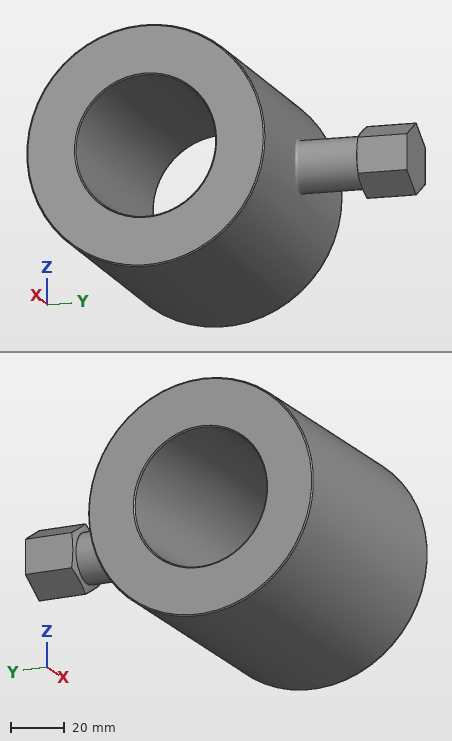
import cadquery as cq
import math

sleeve_length = 100.0
sleeve_diameter = 93.0
bore_diameter = 54.5
edge_chamfer = 0.5

total_depth = 136.9
neck_diameter = 20.0
neck_root_fillet = 1.0
hex_across_flats = 24.0
hex_length = 20.0
hex_face_diameter = 21.0
hex_cone_angle = 15.0

sleeve_radius = sleeve_diameter / 2
fitting_end = total_depth - sleeve_radius
hex_start = fitting_end - hex_length
hex_across_corners = hex_across_flats / math.cos(math.radians(30))


def make_sleeve():
    """Plain outer cylinder with both rims chamfered."""
    blank = cq.Workplane("YZ").circle(sleeve_radius).extrude(sleeve_length / 2, both=True)
    return blank.faces("<X or >X").edges().chamfer(edge_chamfer)


def add_neck(body):
    """Round neck with a small fillet where it meets the sleeve."""
    neck = cq.Workplane("XZ").circle(neck_diameter / 2).extrude(-hex_start)
    joined = body.union(neck)
    root_zone = cq.selectors.BoxSelector(
        (-neck_diameter, sleeve_radius / 2, -neck_diameter),
        (neck_diameter, sleeve_radius + neck_root_fillet, neck_diameter),
    )
    return joined.edges(root_zone).fillet(neck_root_fillet)


def make_hex():
    """Hexagon with corners on top and bottom, coned on the face towards the sleeve."""
    prism = (
        cq.Workplane("XZ", origin=(0, hex_start, 0))
        .transformed(rotate=(0, 0, 90))
        .polygon(6, hex_across_corners)
        .extrude(-hex_length)
    )
    face_radius = hex_face_diameter / 2
    outer_radius = hex_across_corners
    cone_depth = (outer_radius - face_radius) * math.tan(math.radians(hex_cone_angle))
    cone = (
        cq.Workplane("XY")
        .moveTo(0, hex_start)
        .lineTo(face_radius, hex_start)
        .lineTo(outer_radius, hex_start + cone_depth)
        .lineTo(outer_radius, fitting_end)
        .lineTo(0, fitting_end)
        .close()
        .revolve(360, (0, 0, 0), (0, 1, 0))
    )
    return prism.intersect(cone)


def cut_bore(body):
    """Through bore with both rims chamfered."""
    bore = cq.Workplane("YZ").circle(bore_diameter / 2).extrude(sleeve_length, both=True)
    bored = body.cut(bore)
    rims = bored.faces("<X or >X").edges(cq.selectors.RadiusNthSelector(0))
    return rims.chamfer(edge_chamfer)


result = cut_bore(add_neck(make_sleeve()).union(make_hex()))